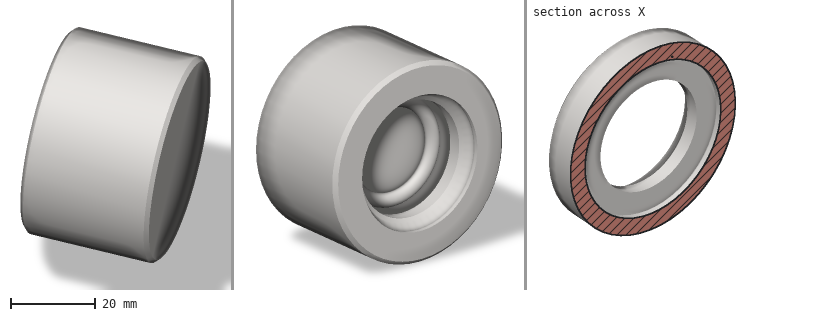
import cadquery as cq

length = 32.0
outer_diameter = 50.55
edge_chamfer = 1.0

entry_diameter = 34.29
entry_depth = 1.45
throat_diameter = 29.4
cone_depth = (entry_diameter - throat_diameter) / 2
throat_end = 7.4

chamber_diameter = 41.35
chamber_floor = 10.63
recess_diameter = 28.0
recess_depth = 2.0
recess_floor = chamber_floor + recess_depth

ring_section_radius = 1.8
ring_inner_diameter = 21.4
ring_mean_radius = ring_inner_diameter / 2 + ring_section_radius
ring_centre_depth = chamber_floor + recess_depth / 2


def make_housing():
    blank = cq.Workplane("YZ").circle(outer_diameter / 2).extrude(length)
    return blank.faces("<X or >X").chamfer(edge_chamfer)


def make_cavity():
    """Revolve the half section of mouth, chamber and recess about the X axis."""
    entry_radius = entry_diameter / 2
    throat_radius = throat_diameter / 2
    chamber_radius = chamber_diameter / 2
    recess_radius = recess_diameter / 2
    section = (
        cq.Workplane("XY")
        .moveTo(0, 0)
        .lineTo(0, entry_radius)
        .lineTo(entry_depth, entry_radius)
        .lineTo(entry_depth + cone_depth, throat_radius)
        .lineTo(throat_end, throat_radius)
        .lineTo(throat_end, chamber_radius)
        .lineTo(chamber_floor, chamber_radius)
        .lineTo(chamber_floor, recess_radius)
        .lineTo(recess_floor, recess_radius)
        .lineTo(recess_floor, 0)
        .close()
    )
    return section.revolve(360, (0, 0, 0), (1, 0, 0))


def make_ring():
    """Full torus about the X axis; its back and outer parts merge into the housing."""
    section = (
        cq.Workplane("XY")
        .center(ring_centre_depth, ring_mean_radius)
        .circle(ring_section_radius)
    )
    return section.revolve(360, (0, -ring_mean_radius, 0), (1, -ring_mean_radius, 0))


result = make_housing().cut(make_cavity()).union(make_ring())